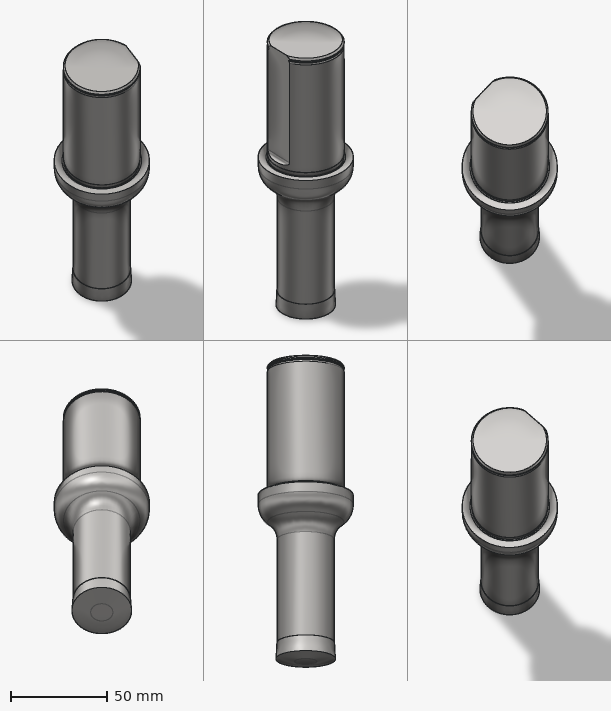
import cadquery as cq

total_length = 160.0
rim_height = 1.5
tip_height = 10.0
flare_bottom = 66.0
flange_bottom = 84.8
flange_top = 90.0

tip_end_radius = 5.8
tip_rim_radius = 15.5
tip_joint_radius = 15.0
stem_radius = 29.8 / 2
flange_radius = 49.5 / 2
shank_radius = 40.0 / 2
neck_radius = 39.5 / 2
relief_radius = 20.6

neck_height = 2.0
neck_taper = 0.3
relief_depth = 0.3
top_chamfer_width = 1.0
top_chamfer_height = 1.1
groove_depth = 0.3
groove_top = total_length - 1.8
groove_bottom = total_length - 3.5
groove_upper_taper = 0.5
groove_lower_taper = 1.0
flat_offset = 18.0
flat_end = 94.0
runout_radius = 2.5


def make_tip():
    """Flared cutting tip with a flat end inside a shallow cone."""
    profile = (
        cq.Workplane("XZ")
        .lineTo(tip_end_radius, 0)
        .lineTo(tip_rim_radius, rim_height)
        .lineTo(tip_joint_radius, tip_height)
        .lineTo(0, tip_height)
        .close()
    )
    return profile.revolve(360, (0, 0, 0), (0, 1, 0))


def make_turned_holder():
    """Stem, S-shaped flare, flange and shank as one turned shape."""
    flare_middle_radius = (stem_radius + flange_radius) / 2
    flare_middle_height = (flare_bottom + flange_bottom) / 2
    relief_floor = flange_top - relief_depth
    neck_top = flange_top + neck_height
    groove_radius = shank_radius - groove_depth
    profile = (
        cq.Workplane("XZ")
        .moveTo(0, tip_height)
        .lineTo(stem_radius, tip_height)
        .lineTo(stem_radius, flare_bottom)
        .tangentArcPoint((flare_middle_radius, flare_middle_height), relative=False)
        .tangentArcPoint((flange_radius, flange_bottom), relative=False)
        .lineTo(flange_radius, flange_top)
        .lineTo(relief_radius, flange_top)
        .lineTo(relief_radius, relief_floor)
        .lineTo(neck_radius, relief_floor)
        .lineTo(neck_radius, neck_top - neck_taper)
        .lineTo(shank_radius, neck_top)
        .lineTo(shank_radius, groove_bottom)
        .lineTo(groove_radius, groove_bottom + groove_lower_taper)
        .lineTo(groove_radius, groove_top - groove_upper_taper)
        .lineTo(shank_radius, groove_top)
        .lineTo(shank_radius, total_length - top_chamfer_height)
        .lineTo(shank_radius - top_chamfer_width, total_length)
        .lineTo(0, total_length)
        .close()
    )
    return profile.revolve(360, (0, 0, 0), (0, 1, 0))


def make_flat_cutter():
    """Removes the +Y side of the shank, with a rounded run-out at the lower end."""
    runout_top = flat_end + runout_radius
    runout_y = flat_offset + runout_radius
    return (
        cq.Workplane("YZ")
        .moveTo(flat_offset, total_length)
        .lineTo(flat_offset, runout_top)
        .tangentArcPoint((runout_y, flat_end), relative=False)
        .lineTo(runout_y, total_length)
        .close()
        .extrude(shank_radius, both=True)
    )


tip = make_tip()
holder = make_turned_holder().cut(make_flat_cutter())

result = cq.Compound.makeCompound([holder.val(), tip.val()])